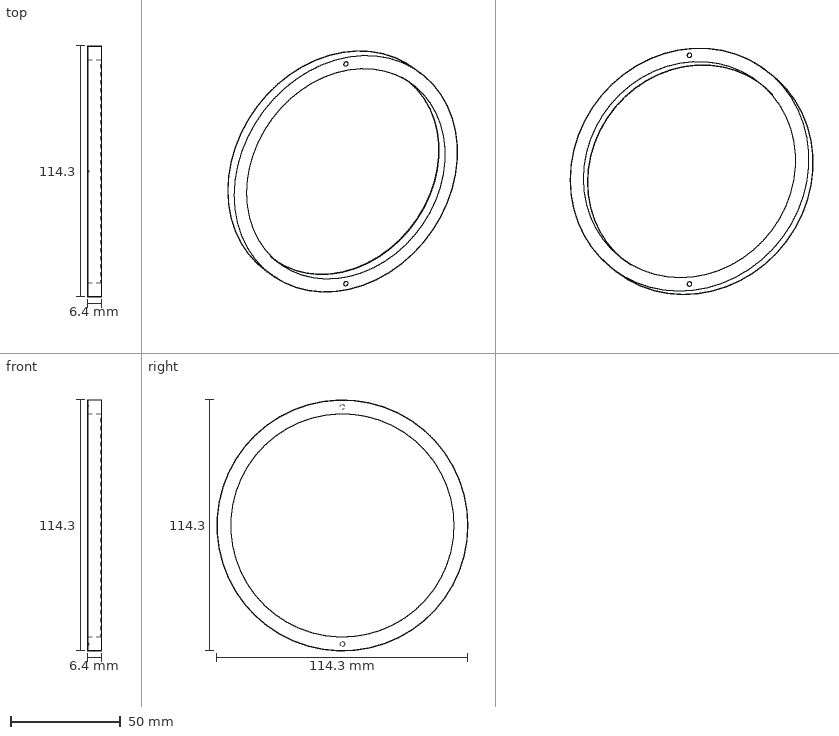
import cadquery as cq
import math

ring_diameter = 114.3
bore_diameter = 101.6
ring_width = 6.4

disc_thickness = 0.5

spot_mouth_diameter = 2.2
spot_cone_diameter = 1.8
spot_chamfer = (spot_mouth_diameter - spot_cone_diameter) / 2
spot_cone_angle = 118.0
spot_cone_depth = spot_cone_diameter / 2 / math.tan(math.radians(spot_cone_angle / 2))
spot_offset = (ring_diameter + bore_diameter) / 4

front_x = -ring_width / 2
back_x = ring_width / 2


def make_drill_spot(z):
    """Cutter for a conical spot with a 45 degree chamfer, entering the front face at height z."""
    profile = (
        cq.Workplane("XY")
        .moveTo(front_x, 0)
        .lineTo(front_x, spot_mouth_diameter / 2)
        .lineTo(front_x + spot_chamfer, spot_cone_diameter / 2)
        .lineTo(front_x + spot_chamfer + spot_cone_depth, 0)
        .close()
    )
    return profile.revolve(360, (0, 0, 0), (1, 0, 0)).translate((0, 0, z))


def make_ring():
    """Flat ring with one drill spot at the top and one at the bottom."""
    ring = (
        cq.Workplane("YZ", origin=(front_x, 0, 0))
        .circle(ring_diameter / 2)
        .circle(bore_diameter / 2)
        .extrude(ring_width)
    )
    for z in (-spot_offset, spot_offset):
        ring = ring.cut(make_drill_spot(z))
    return ring


def make_disc():
    """Thin round plate filling the back end of the bore."""
    return (
        cq.Workplane("YZ", origin=(back_x - disc_thickness, 0, 0))
        .circle(bore_diameter / 2)
        .extrude(disc_thickness)
    )


ring = make_ring()
disc = make_disc()
result = cq.Compound.makeCompound([ring.val(), disc.val()])